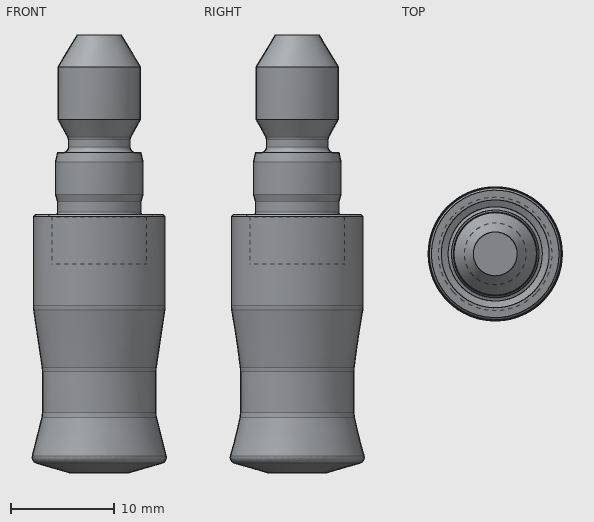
import cadquery as cq

total_height = 42.5
handle_top_z = 25.08
body_end_z = 16.02
waist_top_z = 10.05
waist_bottom_z = 5.6
rim_z = 1.1
shank_top_z = 26.35
collar_bottom_z = 27.0
collar_bevel_z = 30.18
collar_top_z = 31.05
neck_top_z = 32.45
head_bottom_z = 34.3
head_top_z = 39.4

body_radius = 12.8 / 2
waist_radius = 11.0 / 2
rim_radius = 6.65
foot_flat_radius = 2.8
countersink_radius = 5.23

tip_radius = 2.12
head_radius = 8.0 / 2
neck_radius = 6.0 / 2
collar_radius = 8.5 / 2
collar_top_radius = 8.1 / 2
shank_radius = 8.1 / 2

taper_fillet = 2.7
flare_fillet = 2.0
rim_fillet = 0.6
body_top_chamfer = 0.2
neck_fillet = 0.55
shank_fillet = 0.5

spigot_radius = shank_radius + shank_fillet
countersink_depth = 0.25
shoulder_z = handle_top_z - countersink_depth
spigot_depth = spigot_radius
spigot_bottom_z = shoulder_z - spigot_depth

tolerance = 0.005


def revolve_profile(points):
    """Revolve an (r, z) outline around the Z axis."""
    return cq.Workplane("XZ").polyline(points).close().revolve(360, (0, 0), (0, 1))


def fillet_circle(body, radius, z, fillet):
    """Round the circular edge of the given radius at height z."""

    def matches(edge):
        if edge.geomType() != "CIRCLE":
            return False
        same_height = abs(edge.Center().z - z) < tolerance
        return same_height and abs(edge.radius() - radius) < tolerance

    edges = [edge for edge in body.edges().vals() if matches(edge)]
    return body.newObject(edges).fillet(fillet)


def make_handle():
    """Waisted grip with a flared foot and a countersunk blind bore in its top."""
    handle = revolve_profile([
        (0, 0),
        (foot_flat_radius, 0),
        (rim_radius, rim_z),
        (waist_radius, waist_bottom_z),
        (waist_radius, waist_top_z),
        (body_radius, body_end_z),
        (body_radius, handle_top_z - body_top_chamfer),
        (body_radius - body_top_chamfer, handle_top_z),
        (countersink_radius, handle_top_z),
        (spigot_radius, shoulder_z),
        (spigot_radius, spigot_bottom_z),
        (0, spigot_bottom_z),
    ])
    handle = fillet_circle(handle, rim_radius, rim_z, rim_fillet)
    handle = fillet_circle(handle, waist_radius, waist_bottom_z, flare_fillet)
    handle = fillet_circle(handle, waist_radius, waist_top_z, taper_fillet)
    return fillet_circle(handle, body_radius, body_end_z, taper_fillet)


def make_pin():
    """Locating pin with a tapered head, a neck, a collar and a spigot in the handle."""
    pin = (
        cq.Workplane("XZ")
        .moveTo(0, spigot_bottom_z)
        .lineTo(spigot_radius, spigot_bottom_z)
        .lineTo(spigot_radius, shoulder_z)
        .radiusArc((shank_radius, shoulder_z + shank_fillet), shank_fillet)
        .lineTo(shank_radius, shank_top_z)
        .lineTo(collar_radius, collar_bottom_z)
        .lineTo(collar_radius, collar_bevel_z)
        .lineTo(collar_top_radius, collar_top_z)
        .lineTo(neck_radius, collar_top_z)
        .lineTo(neck_radius, neck_top_z)
        .lineTo(head_radius, head_bottom_z)
        .lineTo(head_radius, head_top_z)
        .lineTo(tip_radius, total_height)
        .lineTo(0, total_height)
        .close()
        .revolve(360, (0, 0), (0, 1))
    )
    pin = fillet_circle(pin, neck_radius, collar_top_z, neck_fillet)
    return fillet_circle(pin, neck_radius, neck_top_z, neck_fillet)


handle = make_handle()
pin = make_pin()

result = cq.Compound.makeCompound([handle.val(), pin.val()])